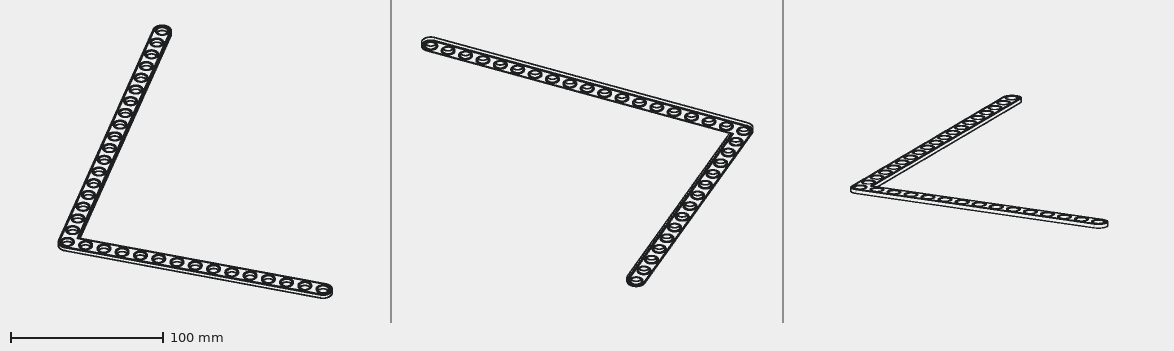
import cadquery as cq

length_y = 237.5
holes_along_x = 15
holes_along_y = 19
thickness = 3.0
hole_diameter = 7.0
rim_diameter = 9.3
rim_depth = 0.2
rim_steps = 2

pitch = length_y / holes_along_y
bar_width = pitch
step_width = (rim_diameter - hole_diameter) / 2 / rim_steps
step_depth = rim_depth / rim_steps

hole_centres = [(i * pitch, 0) for i in range(holes_along_x)]
hole_centres += [(0, i * pitch) for i in range(1, holes_along_y)]


def round_ended_bar(hole_count, width, height, angle):
    """Bar with full-round ends, centred on the first and last of its holes."""
    span = (hole_count - 1) * pitch
    return (
        cq.Workplane("XY")
        .transformed(rotate=(0, 0, angle))
        .center(span / 2, 0)
        .slot2D(span + width, width)
        .extrude(height)
    )


def perforated_layer(inset, height):
    """L-shaped layer whose outline and holes are all drawn back by the inset."""
    width = bar_width - 2 * inset
    layer = round_ended_bar(holes_along_x, width, height, 0)
    layer = layer.union(round_ended_bar(holes_along_y, width, height, 90))
    holes = (
        cq.Workplane("XY")
        .pushPoints(hole_centres)
        .circle(hole_diameter / 2 + inset)
        .extrude(height)
    )
    return layer.cut(holes)


result = None
for step in range(rim_steps + 1):
    depth = rim_depth - step * step_depth
    layer = perforated_layer(step * step_width, thickness - 2 * depth)
    layer = layer.translate((0, 0, depth))
    result = layer if result is None else result.union(layer)